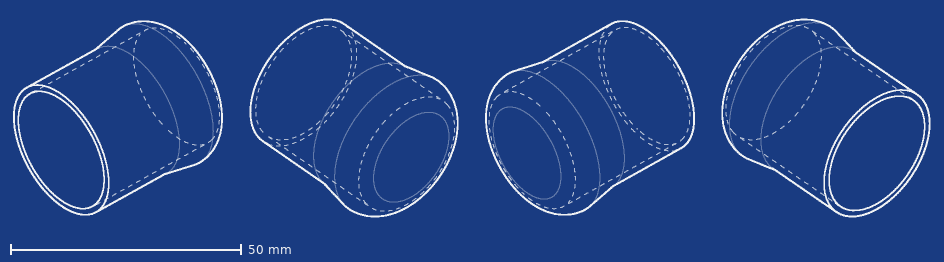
import cadquery as cq

length = 35.0
tube_diameter = 31.0
bore_diameter = 28.0
head_diameter = 34.0
rim_radius = 6.0
flare_start = 20.5
end_wall = 1.5

tube_radius = tube_diameter / 2
head_radius = head_diameter / 2
flare_end = length - rim_radius

profile = (
    cq.Workplane("XY")
    .lineTo(tube_radius, 0)
    .lineTo(tube_radius, flare_start)
    .lineTo(head_radius, flare_end)
    .radiusArc((head_radius - rim_radius, length), -rim_radius)
    .lineTo(0, length)
    .close()
)
body = profile.revolve(360, (0, 0, 0), (0, 1, 0))

bore = cq.Workplane("XZ").circle(bore_diameter / 2).extrude(-(length - end_wall))
result = body.cut(bore)